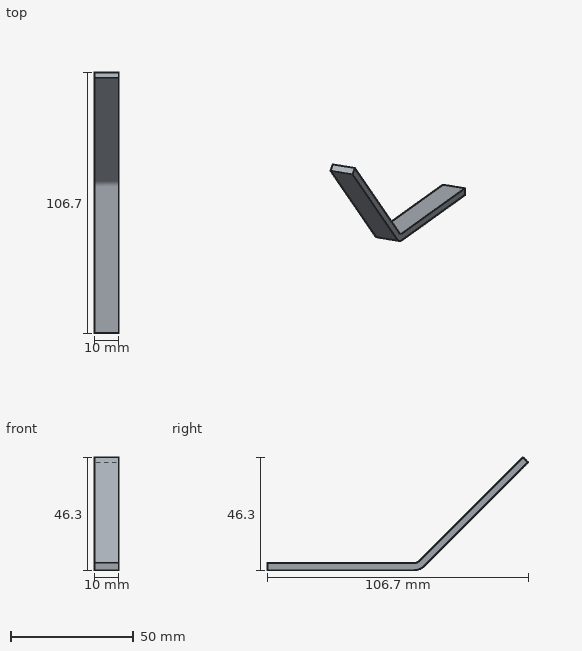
import cadquery as cq
import math

overall_length = 106.7
width = 10.0
thickness = 3.0
inner_radius = 3.0
bend_angle = 45.0

outer_radius = inner_radius + thickness
bend_sin = math.sin(math.radians(bend_angle))
bend_cos = math.cos(math.radians(bend_angle))
leg_length = (overall_length - outer_radius * bend_sin) / (1 + bend_cos)


def bend_point(radius, angle):
    """Point (Y, Z) on the bend, at an angle in degrees from where the bend starts."""
    turn = math.radians(angle)
    return (leg_length + radius * math.sin(turn), outer_radius - radius * math.cos(turn))


def leg_end(radius):
    """Far end (Y, Z) of the inclined leg, on the face tangent to the given bend radius."""
    y, z = bend_point(radius, bend_angle)
    return (y + leg_length * bend_cos, z + leg_length * bend_sin)


profile = (
    cq.Workplane("YZ")
    .moveTo(0, 0)
    .lineTo(*bend_point(outer_radius, 0))
    .threePointArc(bend_point(outer_radius, bend_angle / 2), bend_point(outer_radius, bend_angle))
    .lineTo(*leg_end(outer_radius))
    .lineTo(*leg_end(inner_radius))
    .lineTo(*bend_point(inner_radius, bend_angle))
    .threePointArc(bend_point(inner_radius, bend_angle / 2), bend_point(inner_radius, 0))
    .lineTo(0, thickness)
    .close()
)

result = profile.extrude(width / 2, both=True)